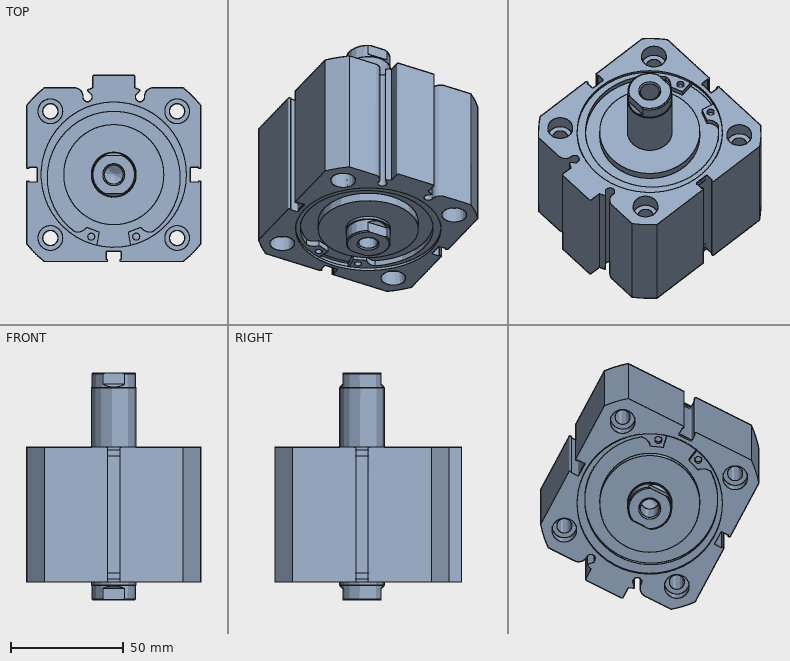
import cadquery as cq
import math

BODY_WIDTH = 77.5
BODY_HEIGHT = 60.0
CORNER_RADIUS = 49.5

HOLE_PITCH = 56.4
HOLE_DIAMETER = 6.7
COUNTERBORE_DIAMETER = 11.0
COUNTERBORE_DEPTH = 7.4

SLOT_DEPTH = 4.6
SLOT_MOUTH_WIDTH = 5.5
SLOT_INNER_WIDTH = 6.5
SLOT_LIP_DEPTH = 1.0
SLOT_FLOOR_RADIUS = 0.3
SLOT_MOUTH_RADIUS = 0.4

RAIL_WIDTH = 18.7
RAIL_RISE = 5.6
RAIL_CORNER_RADIUS = 0.6
RAIL_LIP_WIDTH = 23.8
RAIL_LIP_DROP = 1.1
RAIL_LIP_RADIUS = 0.3
RAIL_GROOVE_PITCH = 23.3
RAIL_GROOVE_WIDTH = 3.9
RAIL_GROOVE_DEPTH = 6.3
RAIL_UNDERCUT_DROP = 3.4
RAIL_EDGE_RADIUS = 4.0

BORE_DIAMETER = 64.6
GROOVE_DIAMETER = 67.7
RING_THICKNESS = 2.7
COVER_RECESS = 4.0
COVER_FLANGE_THICKNESS = 8.1
BOSS_DIAMETER = 44.5

RING_INNER_RADIUS = 29.6
RING_INNER_OFFSET = 1.4
RING_CURVE_END_ANGLE = 54.0
RING_GAP_HALF_ANGLE = 13.3
LUG_SHOULDER = (12.0, -23.4)
LUG_FILLET_MIDDLE = (15.2, -25.5)
LUG_TIP = (6.5, -25.6)
LUG_HOLE_CENTER = (10.0, -27.6)
LUG_HOLE_DIAMETER = 3.1

ROD_DIAMETER = 20.0
ROD_TOP_REACH = 33.0
ROD_BOTTOM_REACH = 8.0
ROD_END_DIAMETER = 19.5
ROD_END_LENGTH = 6.5
ROD_END_CHAMFER = 0.5
FLAT_WIDTH = 17.0
FLAT_LENGTH = 5.0
THREAD_HOLE_DIAMETER = 8.5
THREAD_HOLE_MOUTH_DIAMETER = 9.8
THREAD_HOLE_DEPTH = 15.2
DRILL_POINT_ANGLE = 118.0

HALF_WIDTH = BODY_WIDTH / 2
GROOVE_RADIUS = GROOVE_DIAMETER / 2
ROD_LENGTH = ROD_BOTTOM_REACH + BODY_HEIGHT + ROD_TOP_REACH


def mirrored_to_bottom(shape):
    """Copy of a shape at the top of the body, mirrored to its bottom."""
    return shape.mirror("XY", (0, 0, BODY_HEIGHT / 2))


def body_blank():
    square = cq.Workplane("XY").rect(BODY_WIDTH, BODY_WIDTH).extrude(BODY_HEIGHT)
    corner_round = cq.Workplane("XY").circle(CORNER_RADIUS).extrude(BODY_HEIGHT)
    rail_height = HALF_WIDTH + RAIL_RISE
    rail = (
        cq.Workplane("XY")
        .center(0, rail_height / 2)
        .rect(RAIL_WIDTH, rail_height)
        .extrude(BODY_HEIGHT)
        .edges("|Z and >Y")
        .fillet(RAIL_CORNER_RADIUS)
    )
    return square.intersect(corner_round).union(rail)


def rail_groove():
    """Cutter for the undercut groove on the +X side of the rail."""
    groove_radius = RAIL_GROOVE_WIDTH / 2
    center_x = RAIL_GROOVE_PITCH / 2
    inner_x = center_x - groove_radius
    outer_x = center_x + groove_radius
    bottom_y = HALF_WIDTH - RAIL_GROOVE_DEPTH
    center_y = bottom_y + groove_radius
    edge_center_x = outer_x + RAIL_EDGE_RADIUS
    edge_center_y = HALF_WIDTH - RAIL_EDGE_RADIUS
    edge_mid = RAIL_EDGE_RADIUS * math.sqrt(0.5)
    lip_x = RAIL_LIP_WIDTH / 2
    lip_y = HALF_WIDTH - RAIL_LIP_DROP
    lip_edge_middle = (lip_x, lip_y, BODY_HEIGHT / 2)
    return (
        cq.Workplane("XY")
        .moveTo(RAIL_WIDTH / 2, HALF_WIDTH)
        .lineTo(lip_x, lip_y)
        .lineTo(inner_x, HALF_WIDTH - RAIL_UNDERCUT_DROP)
        .lineTo(inner_x, center_y)
        .threePointArc((center_x, bottom_y), (outer_x, center_y))
        .lineTo(outer_x, edge_center_y)
        .threePointArc(
            (edge_center_x - edge_mid, edge_center_y + edge_mid),
            (edge_center_x, HALF_WIDTH),
        )
        .close()
        .extrude(BODY_HEIGHT)
        .edges(cq.NearestToPointSelector(lip_edge_middle))
        .fillet(RAIL_LIP_RADIUS)
    )


def sensor_slot():
    """Cutter for the lipped slot in the +X side."""
    floor_x = HALF_WIDTH - SLOT_DEPTH
    channel_depth = SLOT_DEPTH - SLOT_LIP_DEPTH
    channel = (
        cq.Workplane("XY")
        .center(floor_x + channel_depth / 2, 0)
        .rect(channel_depth, SLOT_INNER_WIDTH)
        .extrude(BODY_HEIGHT)
        .edges("|Z and <X")
        .fillet(SLOT_FLOOR_RADIUS)
    )
    half_mouth = SLOT_MOUTH_WIDTH / 2
    flare_start_x = HALF_WIDTH - SLOT_MOUTH_RADIUS
    flare_end_y = half_mouth + SLOT_MOUTH_RADIUS
    flare_mid = SLOT_MOUTH_RADIUS * math.sqrt(0.5)
    flare_mid_x = flare_start_x + flare_mid
    flare_mid_y = flare_end_y - flare_mid
    mouth = (
        cq.Workplane("XY")
        .moveTo(floor_x + SLOT_FLOOR_RADIUS, -half_mouth)
        .lineTo(flare_start_x, -half_mouth)
        .threePointArc((flare_mid_x, -flare_mid_y), (HALF_WIDTH, -flare_end_y))
        .lineTo(HALF_WIDTH, flare_end_y)
        .threePointArc((flare_mid_x, flare_mid_y), (flare_start_x, half_mouth))
        .lineTo(floor_x + SLOT_FLOOR_RADIUS, half_mouth)
        .close()
        .extrude(BODY_HEIGHT)
    )
    return channel.union(mouth)


def mounting_holes():
    """Cutter for the four through holes, counterbored at both ends."""
    def at_corners(diameter, height):
        return (
            cq.Workplane("XY")
            .rect(HOLE_PITCH, HOLE_PITCH, forConstruction=True)
            .vertices()
            .circle(diameter / 2)
            .extrude(height)
        )

    holes = at_corners(HOLE_DIAMETER, BODY_HEIGHT)
    bottom_counterbores = at_corners(COUNTERBORE_DIAMETER, COUNTERBORE_DEPTH)
    return holes.union(bottom_counterbores).union(mirrored_to_bottom(bottom_counterbores))


def ring_groove():
    """Cutter for the groove that holds the top retaining ring."""
    return (
        cq.Workplane("XY")
        .workplane(offset=BODY_HEIGHT - COVER_RECESS)
        .circle(GROOVE_RADIUS)
        .extrude(RING_THICKNESS)
    )


def make_housing():
    bore = cq.Workplane("XY").circle(BORE_DIAMETER / 2).extrude(BODY_HEIGHT)
    groove = ring_groove()
    rail_side = rail_groove()
    housing = body_blank().cut(rail_side).cut(rail_side.mirror("YZ"))
    for slot_angle in (0, 180, 270):
        housing = housing.cut(sensor_slot().rotate((0, 0, 0), (0, 0, 1), slot_angle))
    return housing.cut(mounting_holes()).cut(bore).cut(groove).cut(mirrored_to_bottom(groove))


def make_top_cover():
    flange_top = BODY_HEIGHT - COVER_RECESS
    return (
        cq.Workplane("XY")
        .workplane(offset=flange_top - COVER_FLANGE_THICKNESS)
        .circle(BORE_DIAMETER / 2)
        .extrude(COVER_FLANGE_THICKNESS)
        .faces(">Z")
        .workplane()
        .circle(BOSS_DIAMETER / 2)
        .extrude(COVER_RECESS)
        .faces(">Z")
        .workplane()
        .hole(ROD_DIAMETER)
    )


def opposite(point):
    """The same point on the other side of the YZ plane."""
    return (-point[0], point[1])


def make_top_ring():
    gap_angle = math.radians(RING_GAP_HALF_ANGLE)
    gap_end = (GROOVE_RADIUS * math.sin(gap_angle), -GROOVE_RADIUS * math.cos(gap_angle))
    curve_angle = math.radians(RING_CURVE_END_ANGLE)
    curve_end = (
        RING_INNER_RADIUS * math.cos(curve_angle),
        -RING_INNER_OFFSET - RING_INNER_RADIUS * math.sin(curve_angle),
    )
    ring = (
        cq.Workplane("XY")
        .workplane(offset=BODY_HEIGHT - COVER_RECESS)
        .moveTo(*curve_end)
        .threePointArc((0, RING_INNER_RADIUS - RING_INNER_OFFSET), opposite(curve_end))
        .threePointArc(opposite(LUG_FILLET_MIDDLE), opposite(LUG_SHOULDER))
        .lineTo(*opposite(LUG_TIP))
        .lineTo(*opposite(gap_end))
        .threePointArc((0, GROOVE_RADIUS), gap_end)
        .lineTo(*LUG_TIP)
        .lineTo(*LUG_SHOULDER)
        .threePointArc(LUG_FILLET_MIDDLE, curve_end)
        .close()
        .extrude(RING_THICKNESS)
    )
    lug_hole = (
        cq.Workplane("XY")
        .center(*LUG_HOLE_CENTER)
        .circle(LUG_HOLE_DIAMETER / 2)
        .extrude(BODY_HEIGHT)
    )
    return ring.cut(lug_hole).cut(lug_hole.mirror("YZ"))


def rod_blank():
    """Stepped round bar, built from z = 0 upward."""
    shoulder_chamfer = (ROD_DIAMETER - ROD_END_DIAMETER) / 2
    shaft = (
        cq.Workplane("XY")
        .workplane(offset=ROD_END_LENGTH)
        .circle(ROD_DIAMETER / 2)
        .extrude(ROD_LENGTH - 2 * ROD_END_LENGTH)
        .edges()
        .chamfer(shoulder_chamfer)
    )
    ends = (
        cq.Workplane("XY")
        .circle(ROD_END_DIAMETER / 2)
        .extrude(ROD_LENGTH)
        .edges()
        .chamfer(ROD_END_CHAMFER)
    )
    return shaft.union(ends)


def wrench_flat():
    """Cutter for one flat on the +Y side of the lower end, run out at 45 degrees."""
    cut_depth = ROD_DIAMETER / 2
    flat_y = FLAT_WIDTH / 2
    return (
        cq.Workplane("YZ")
        .moveTo(flat_y, 0)
        .lineTo(flat_y, FLAT_LENGTH)
        .lineTo(flat_y + cut_depth, FLAT_LENGTH + cut_depth)
        .lineTo(flat_y + cut_depth, 0)
        .close()
        .extrude(ROD_DIAMETER / 2, both=True)
    )


def thread_hole():
    """Cutter for the threaded hole in the lower end: countersunk mouth and drill point."""
    hole_radius = THREAD_HOLE_DIAMETER / 2
    mouth_radius = THREAD_HOLE_MOUTH_DIAMETER / 2
    point_length = hole_radius / math.tan(math.radians(DRILL_POINT_ANGLE / 2))
    return (
        cq.Workplane("XZ")
        .moveTo(0, 0)
        .lineTo(mouth_radius, 0)
        .lineTo(hole_radius, mouth_radius - hole_radius)
        .lineTo(hole_radius, THREAD_HOLE_DEPTH)
        .lineTo(0, THREAD_HOLE_DEPTH + point_length)
        .close()
        .revolve(360, (0, 0, 0), (0, 1, 0))
    )


def make_rod():
    end_cut = wrench_flat().union(wrench_flat().mirror("XZ")).union(thread_hole())
    top_end_cut = end_cut.mirror("XY", (0, 0, ROD_LENGTH / 2))
    return rod_blank().cut(end_cut).cut(top_end_cut).translate((0, 0, -ROD_BOTTOM_REACH))


housing = make_housing()
rod = make_rod()

top_cover = make_top_cover()
top_ring = make_top_ring()

covers = [top_cover, mirrored_to_bottom(top_cover)]
rings = [top_ring, mirrored_to_bottom(top_ring)]

result = cq.Compound.makeCompound(
    [housing.val(), rod.val()]
    + [cover.val() for cover in covers]
    + [ring.val() for ring in rings]
)